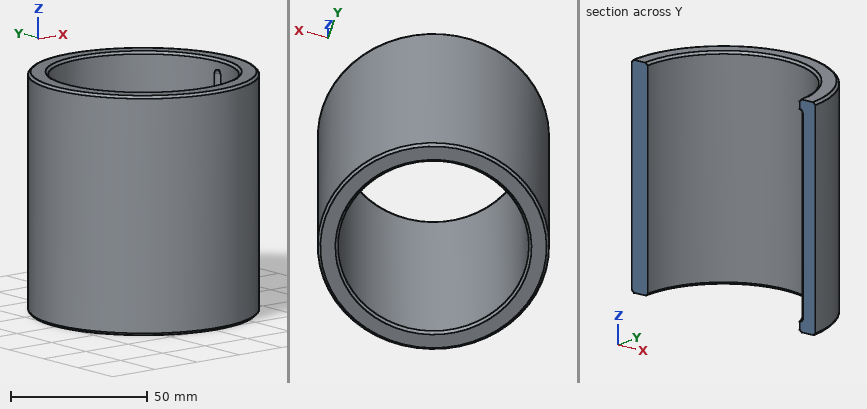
import cadquery as cq

outer_diameter = 85.0
bore_diameter = 70.0
length = 90.0
edge_chamfer = 1.0
groove_radius = 1.8
groove_depth = 1.6
groove_end_margin = 4.05


def make_sleeve():
    """Plain sleeve along Z, centred on the origin, with chamfered rims."""
    sleeve = (
        cq.Workplane("XY", origin=(0, 0, -length / 2))
        .circle(outer_diameter / 2)
        .circle(bore_diameter / 2)
        .extrude(length)
    )
    return sleeve.faces("|Z").edges().chamfer(edge_chamfer)


def make_groove_cutter():
    """Round-ended bar along Z that cuts the groove in the +X side of the bore."""
    axis_x = bore_diameter / 2 + groove_depth - groove_radius
    end_centre_z = length / 2 - groove_end_margin - groove_radius
    cutter = (
        cq.Workplane("XY", origin=(axis_x, 0, -end_centre_z))
        .circle(groove_radius)
        .extrude(2 * end_centre_z)
    )
    for z in (-end_centre_z, end_centre_z):
        ball = cq.Workplane("XY", origin=(axis_x, 0, z)).sphere(groove_radius)
        cutter = cutter.union(ball)
    return cutter


result = make_sleeve().cut(make_groove_cutter())